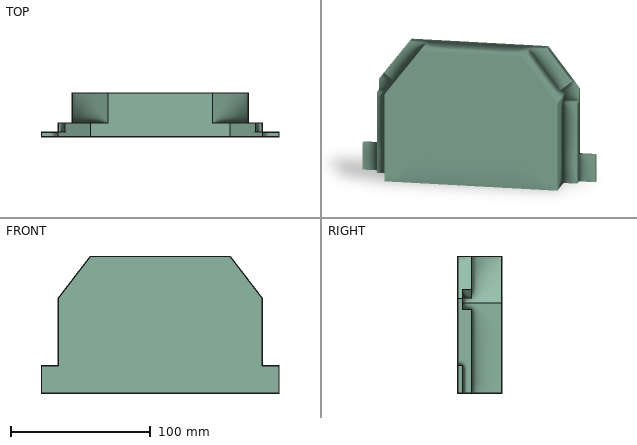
import cadquery as cq
import math

FOOT_WIDTH = 170.0
TOTAL_DEPTH = 31.5
HEIGHT = 98.0

PLATE_WIDTH = 146.0
PLATE_TOP_WIDTH = 100.0
PLATE_SHOULDER_HEIGHT = 68.0
PLATE_DEPTH = 10.0
FOOT_HEIGHT = 20.0
FOOT_DEPTH = 3.5

BODY_INSET = 10.0

NOTCH_LEG = 8.0

BEVEL_RUN = (PLATE_WIDTH - PLATE_TOP_WIDTH) / 2
BEVEL_RISE = HEIGHT - PLATE_SHOULDER_HEIGHT
BEVEL_ANGLE = math.atan2(BEVEL_RUN, BEVEL_RISE)

BODY_WIDTH = PLATE_WIDTH - 2 * BODY_INSET
BODY_TOP_WIDTH = PLATE_TOP_WIDTH - 2 * BODY_INSET / math.cos(BEVEL_ANGLE)
BODY_SHOULDER_HEIGHT = PLATE_SHOULDER_HEIGHT - BODY_INSET * math.tan(BEVEL_ANGLE / 2)


def extrude_back(points, front, back):
    """Extrude a closed XZ outline from Y = front to Y = back."""
    plane = cq.Workplane("XZ", origin=(0, front, 0))
    return plane.polyline(points).close().extrude(front - back)


def housing_outline(width, top_width, shoulder_height):
    """Upright outline with a flat base and two bevelled upper corners."""
    return [
        (-width / 2, 0),
        (width / 2, 0),
        (width / 2, shoulder_height),
        (top_width / 2, HEIGHT),
        (-top_width / 2, HEIGHT),
        (-width / 2, shoulder_height),
    ]


def make_plate():
    outline = housing_outline(PLATE_WIDTH, PLATE_TOP_WIDTH, PLATE_SHOULDER_HEIGHT)
    return extrude_back(outline, 0, PLATE_DEPTH)


def make_body():
    """Body starts at the back of the foot, so it forms the inner wall of the notches."""
    outline = housing_outline(BODY_WIDTH, BODY_TOP_WIDTH, BODY_SHOULDER_HEIGHT)
    return extrude_back(outline, FOOT_DEPTH, TOTAL_DEPTH)


def make_foot():
    return cq.Workplane("XY").box(FOOT_WIDTH, FOOT_DEPTH, FOOT_HEIGHT, centered=(True, False, False))


def make_left_notch():
    """Bent band around the shoulder, as wide as the inset, with square ends."""
    side_x = -PLATE_WIDTH / 2
    floor_z = PLATE_SHOULDER_HEIGHT - NOTCH_LEG
    bevel_end_x = side_x + NOTCH_LEG * math.sin(BEVEL_ANGLE)
    bevel_end_z = PLATE_SHOULDER_HEIGHT + NOTCH_LEG * math.cos(BEVEL_ANGLE)
    outline = [
        (side_x, floor_z),
        (side_x + BODY_INSET, floor_z),
        (-BODY_WIDTH / 2, BODY_SHOULDER_HEIGHT),
        (
            bevel_end_x + BODY_INSET * math.cos(BEVEL_ANGLE),
            bevel_end_z - BODY_INSET * math.sin(BEVEL_ANGLE),
        ),
        (bevel_end_x, bevel_end_z),
        (side_x, PLATE_SHOULDER_HEIGHT),
    ]
    return extrude_back(outline, FOOT_DEPTH, PLATE_DEPTH)


left_notch = make_left_notch()
right_notch = left_notch.mirror("YZ")
notched_plate = make_plate().cut(left_notch).cut(right_notch)
result = notched_plate.union(make_body()).union(make_foot())